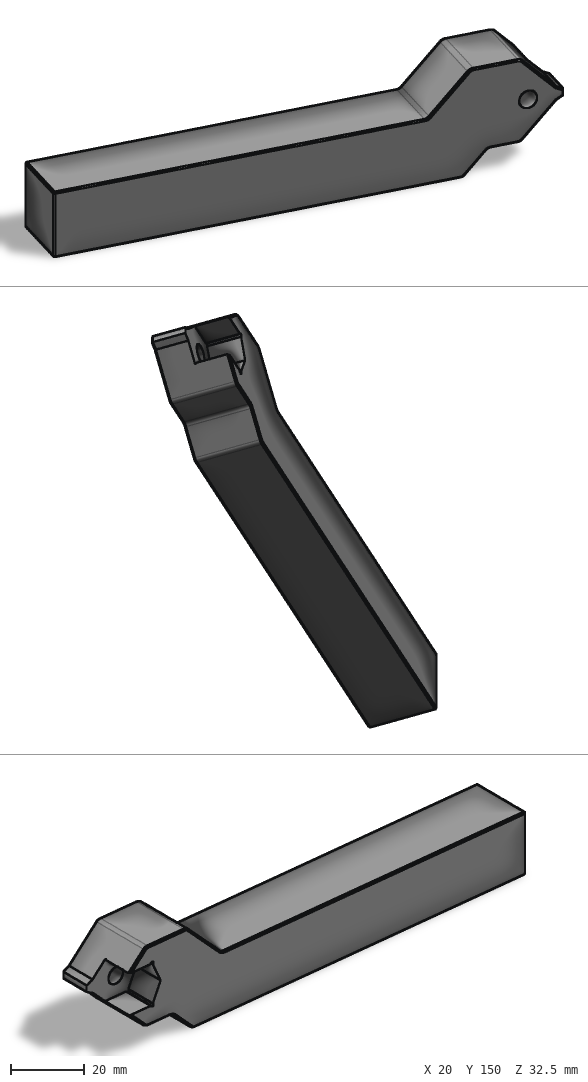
import cadquery as cq

length = 150.0
width = 20.0
height = 32.5
shank_height = width
tip_z = shank_height

head_bottom_z = 2 * tip_z - height
head_front_y = 137.4
head_back_top_y = 122.5
head_back_bottom_y = 127.8
tip_half_flat = 1.0
tip_bevel_length = 2.1
tip_bevel_half_height = 2.1
bend_radius = 2.0
crest_radius = 2.4
edge_chamfer = 0.5

pocket_depth = width / 2
pocket_half_height = 6.6
pocket_corner_y = 135.2
pocket_apex_y = 132.2
relief_radius = 0.5
screw_hole_y = 139.5
screw_hole_diameter = 5.2

min_x = -width / 2


def side_prism(points, depth):
    """Extrude a closed (Y, Z) outline toward +X from the -X face."""
    return cq.Workplane("YZ", origin=(min_x, 0, 0)).polyline(points).close().extrude(depth)


def make_body():
    """Cranked shank with rounded bends and chamfered rims; all ramps are at 45 degrees."""
    head_rise = height - shank_height
    bends = [
        (head_back_bottom_y - head_bottom_z, 0),
        (head_back_bottom_y, head_bottom_z),
        (head_front_y, head_bottom_z),
        (head_front_y, height),
        (head_back_top_y, height),
        (head_back_top_y - head_rise, shank_height),
    ]
    bevel_y = length - tip_bevel_length
    tip = [
        (bevel_y, tip_z - tip_bevel_half_height),
        (length, tip_z - tip_half_flat),
        (length, tip_z + tip_half_flat),
        (bevel_y, tip_z + tip_bevel_half_height),
    ]
    body = side_prism([(0, 0)] + bends[:3] + tip + bends[3:] + [(0, shank_height)], width)
    for y, z in bends:
        radius = crest_radius if (y, z) == (head_back_top_y, height) else bend_radius
        bend_edge = cq.selectors.NearestToPointSelector((0, y, z))
        body = body.edges("|X").edges(bend_edge).fillet(radius)
    body = body.faces("<Y").edges("|X").chamfer(edge_chamfer)
    return body.faces("<X or >X").edges().chamfer(edge_chamfer)


def make_pocket():
    """Pointed pocket open toward the tip, with round reliefs in its two corners."""
    corners = [(pocket_corner_y, tip_z + side * pocket_half_height) for side in (-1, 1)]
    lower, upper = corners
    outline = [
        (pocket_apex_y, tip_z),
        lower,
        (length, lower[1]),
        (length, upper[1]),
        upper,
    ]
    reliefs = (
        cq.Workplane("YZ", origin=(min_x, 0, 0))
        .pushPoints(corners)
        .circle(relief_radius)
        .extrude(pocket_depth)
    )
    return side_prism(outline, pocket_depth).union(reliefs)


def make_screw_hole():
    """Through hole for the insert screw."""
    return (
        cq.Workplane("YZ", origin=(min_x, screw_hole_y, tip_z))
        .circle(screw_hole_diameter / 2)
        .extrude(width)
    )


result = make_body().cut(make_pocket()).cut(make_screw_hole())